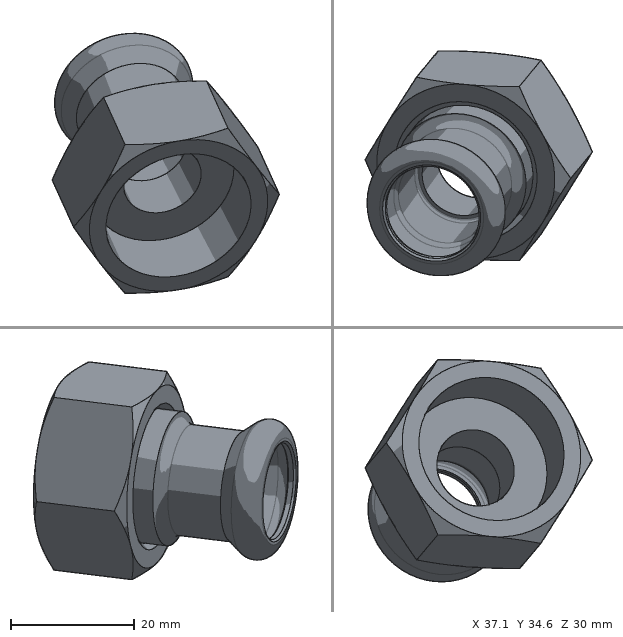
import cadquery as cq
import math


total_length = 37.1
nut_length = 16.05
nut_start = total_length - nut_length
collar_start = 17.95

wall = 1.5
tube_radius = 9.1
socket_radius = tube_radius - wall
bore_radius = 6.5
collar_radius = 11.0
collar_fillet = collar_radius - tube_radius
stop_fillet = 0.55
flange_radius = 12.0
flange_thickness = 3.0

bead_round = 2.8
bead_center_radius = 8.75
bead_cone_angle = math.radians(37)
bead_wall = 1.4
lip_chamfer = 0.2
groove_round = bead_round - bead_wall
groove_exit_round = 2.15
mouth_radius = 7.9
mouth_chamfer = 0.35

nut_width = 30.0
nut_corner_width = nut_width / math.cos(math.pi / 6)
nut_bevel_angle = math.radians(30)
nut_hole_radius = 11.05
nut_hole_mouth_radius = 12.0
nut_hole_chamfer = nut_hole_mouth_radius - nut_hole_radius
nut_lip = 3.0
nut_bore_radius = 12.2

flange_start = nut_start + nut_lip
body_end = flange_start + flange_thickness


def revolved(profile):
    """Close a profile drawn as (x, radius) and turn it once about the X axis."""
    return profile.close().revolve(360, (0, 0, 0), (1, 0, 0))


def on_bead(round_radius, angle):
    """Point on a circle about the bead centre; the angle leans from radial towards +X."""
    x = bead_round + round_radius * math.sin(angle)
    radius = bead_center_radius + round_radius * math.cos(angle)
    return (x, radius)


def bead_cone_end(round_radius, end_radius):
    """Point where the cone tangent to a bead circle comes down to end_radius."""
    x, radius = on_bead(round_radius, bead_cone_angle)
    return (x + (radius - end_radius) / math.tan(bead_cone_angle), end_radius)


def add_bead_curve(profile, round_radius):
    """Continue a profile over the bead, from its -X side to the start of its cone."""
    middle = on_bead(round_radius, -math.pi / 8)
    return profile.threePointArc(middle, on_bead(round_radius, bead_cone_angle))


def make_body():
    profile = cq.Workplane("XY").moveTo(0, mouth_radius + mouth_chamfer).lineTo(0, bead_center_radius)
    profile = add_bead_curve(profile, bead_round)
    return revolved(
        profile.lineTo(*bead_cone_end(bead_round, tube_radius))
        .lineTo(collar_start - collar_fillet, tube_radius)
        .radiusArc((collar_start, collar_radius), -collar_fillet)
        .lineTo(flange_start, collar_radius)
        .lineTo(flange_start, flange_radius)
        .lineTo(body_end, flange_radius)
        .lineTo(body_end, bore_radius)
        .lineTo(collar_start, bore_radius)
        .lineTo(collar_start, socket_radius - stop_fillet)
        .radiusArc((collar_start - stop_fillet, socket_radius), -stop_fillet)
        .lineTo(bead_wall, socket_radius)
        .lineTo(bead_wall, mouth_radius + lip_chamfer)
        .lineTo(bead_wall - lip_chamfer, mouth_radius)
        .lineTo(mouth_chamfer, mouth_radius)
    ).cut(make_groove())


def make_groove():
    """Hollow of the bead, one bead wall within its outer surface, rounded into the socket wall."""
    corner_x = bead_cone_end(groove_round, socket_radius)[0]
    tangent = groove_exit_round * math.tan(bead_cone_angle / 2)
    cone_end = (
        corner_x - tangent * math.cos(bead_cone_angle),
        socket_radius + tangent * math.sin(bead_cone_angle),
    )
    exit_end = (corner_x + tangent, socket_radius)
    profile = cq.Workplane("XY").moveTo(bead_wall, 0).lineTo(bead_wall, bead_center_radius)
    return revolved(
        add_bead_curve(profile, groove_round)
        .lineTo(*cone_end)
        .tangentArcPoint(exit_end, relative=False)
        .lineTo(exit_end[0], 0)
    )


def make_nut():
    hexagon = cq.Workplane("YZ", origin=(nut_start, 0, 0)).polygon(6, nut_corner_width).extrude(nut_length)
    flat_radius = nut_width / 2
    outer_radius = nut_corner_width / 2
    bevel = (outer_radius - flat_radius) * math.tan(nut_bevel_angle)
    bevels = revolved(
        cq.Workplane("XY").moveTo(nut_start, 0)
        .lineTo(nut_start, flat_radius)
        .lineTo(nut_start + bevel, outer_radius)
        .lineTo(total_length - bevel, outer_radius)
        .lineTo(total_length, flat_radius)
        .lineTo(total_length, 0)
    )
    opening = revolved(
        cq.Workplane("XY").moveTo(nut_start, 0)
        .lineTo(nut_start, nut_hole_mouth_radius)
        .lineTo(nut_start + nut_hole_chamfer, nut_hole_radius)
        .lineTo(flange_start, nut_hole_radius)
        .lineTo(flange_start, nut_bore_radius)
        .lineTo(total_length, nut_bore_radius)
        .lineTo(total_length, 0)
    )
    return hexagon.intersect(bevels).cut(opening)


body = make_body()
nut = make_nut()

result = cq.Compound.makeCompound([body.val(), nut.val()])